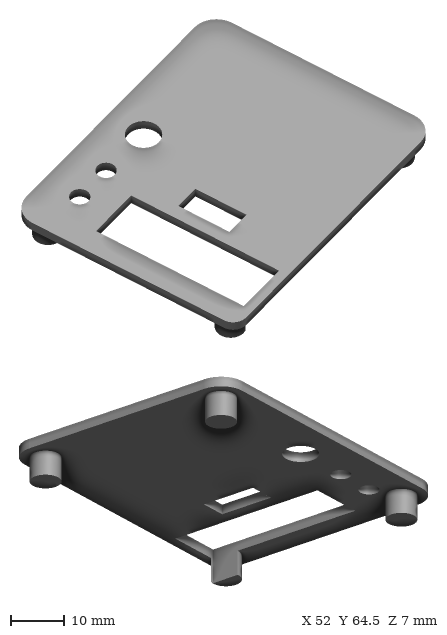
import cadquery as cq

PLATE_LENGTH_X = 52.0
PLATE_LENGTH_Y = 64.5
PLATE_THICKNESS = 2.0
CORNER_RADIUS = 5.0
SMALL_CORNER_RADIUS = 3.0

OVERALL_HEIGHT = 7.0
PIN_HEIGHT = OVERALL_HEIGHT - PLATE_THICKNESS
PIN_DIAMETER = 6.0
PIN_INSET = 5.0

LARGE_HOLE_DIAMETER = 7.0
LARGE_HOLE_CENTER = (8.5, 31.0)
SMALL_HOLE_DIAMETER = 4.0
SMALL_HOLE_X = 8.2
LOWER_SMALL_HOLE_Y = 10.75
SMALL_HOLE_PITCH = 8.5

DISPLAY_SIZE = (34.0, 11.4)
DISPLAY_CORNER = (15.9, 5.2)
SWITCH_SIZE = (11.7, 5.5)
SWITCH_CORNER = (24.7, 19.5)


def make_plate():
    """Flat plate with three equal rounded corners and a tighter one at +X, -Y."""
    plate = cq.Workplane("XY").box(PLATE_LENGTH_X, PLATE_LENGTH_Y, PLATE_THICKNESS, centered=False)
    plate = plate.edges("|Z and (<X or >Y)").fillet(CORNER_RADIUS)
    return plate.edges("|Z and >X and <Y").fillet(SMALL_CORNER_RADIUS)


def make_pins():
    """Four pins, one near each corner, hanging from the underside of the plate."""
    centers = [
        (x, y)
        for x in (PIN_INSET, PLATE_LENGTH_X - PIN_INSET)
        for y in (PIN_INSET, PLATE_LENGTH_Y - PIN_INSET)
    ]
    return cq.Workplane("XY").pushPoints(centers).circle(PIN_DIAMETER / 2).extrude(-PIN_HEIGHT)


def hole_cutter(diameter, centers):
    """Cylinders through the plate thickness at the given centers."""
    return cq.Workplane("XY").pushPoints(centers).circle(diameter / 2).extrude(PLATE_THICKNESS)


def window_cutter(size, corner):
    """Rectangular block through the full height, so it also trims any pin beneath the window."""
    block = cq.Workplane("XY").box(*size, OVERALL_HEIGHT, centered=False)
    return block.translate((*corner, -PIN_HEIGHT))


small_hole_centers = [
    (SMALL_HOLE_X, LOWER_SMALL_HOLE_Y),
    (SMALL_HOLE_X, LOWER_SMALL_HOLE_Y + SMALL_HOLE_PITCH),
]

panel = make_plate().union(make_pins())
panel = panel.cut(hole_cutter(LARGE_HOLE_DIAMETER, [LARGE_HOLE_CENTER]))
panel = panel.cut(hole_cutter(SMALL_HOLE_DIAMETER, small_hole_centers))

panel = panel.cut(window_cutter(DISPLAY_SIZE, DISPLAY_CORNER))
panel = panel.cut(window_cutter(SWITCH_SIZE, SWITCH_CORNER))

result = panel